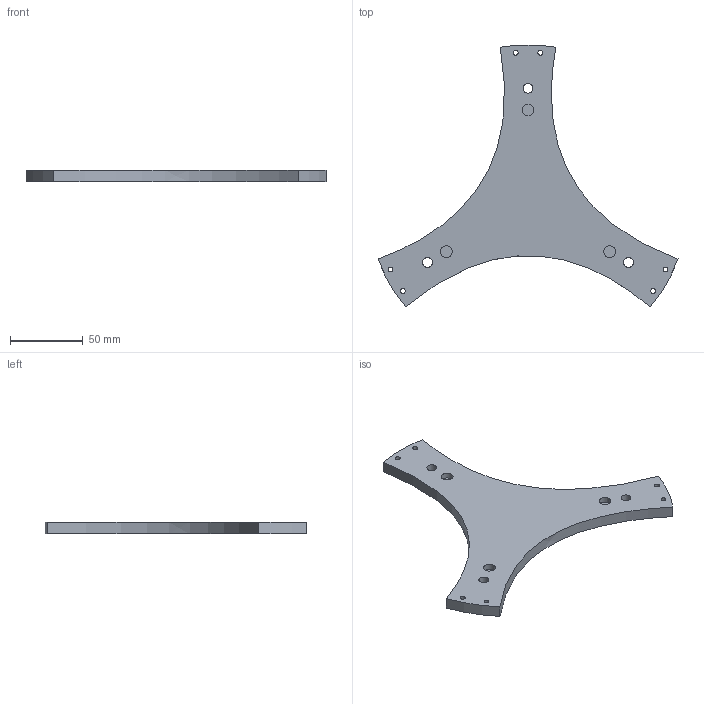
import cadquery as cq
import math

thickness = 8.0
arm_count = 3
arm_pitch = 360.0 / arm_count
first_arm_angle = 90.0

tip_radius = 110.0
tip_half_angle = 10.0

waist_radius = 35.3

through_hole_diameter = 6.75
through_hole_radius = 80.0
blind_hole_diameter = 8.1
blind_hole_radius = 65.0
blind_hole_depth = 4.0

end_hole_diameter = 3.4
end_hole_distance = 104.5
end_hole_spacing = 17.0

arm_angles = [first_arm_angle + i * arm_pitch for i in range(arm_count)]


def polar(radius, angle):
    """Point at a distance and an angle (degrees) from the plate centre."""
    return (
        radius * math.cos(math.radians(angle)),
        radius * math.sin(math.radians(angle)),
    )


def arm_point(along, across, angle):
    """Point measured along and across an arm that points at the given angle."""
    along_x, along_y = polar(along, angle)
    across_x, across_y = polar(across, angle + 90.0)
    return (along_x + across_x, along_y + across_y)


def make_plate():
    """Three-armed plate with rounded arm ends and parabola-like sides between them."""
    outline = cq.Workplane("XY").moveTo(*polar(tip_radius, first_arm_angle - tip_half_angle))
    for angle in arm_angles:
        arm_end = polar(tip_radius, angle + tip_half_angle)
        waist = polar(waist_radius, angle + arm_pitch / 2)
        next_arm_start = polar(tip_radius, angle + arm_pitch - tip_half_angle)
        outline = outline.threePointArc(polar(tip_radius, angle), arm_end)
        outline = outline.spline([waist, next_arm_start], includeCurrent=True)
    return outline.close().extrude(thickness)


def cut_holes(plate, points, diameter, depth):
    """Cut round holes down from the top face."""
    cutters = (
        cq.Workplane("XY")
        .workplane(offset=thickness)
        .pushPoints(points)
        .circle(diameter / 2)
        .extrude(-depth)
    )
    return plate.cut(cutters)


through_points = [polar(through_hole_radius, angle) for angle in arm_angles]
blind_points = [polar(blind_hole_radius, angle) for angle in arm_angles]
end_points = [
    arm_point(end_hole_distance, side * end_hole_spacing / 2, angle)
    for angle in arm_angles
    for side in (-1, 1)
]

result = make_plate()
result = cut_holes(result, through_points, through_hole_diameter, thickness)
result = cut_holes(result, blind_points, blind_hole_diameter, blind_hole_depth)
result = cut_holes(result, end_points, end_hole_diameter, thickness)